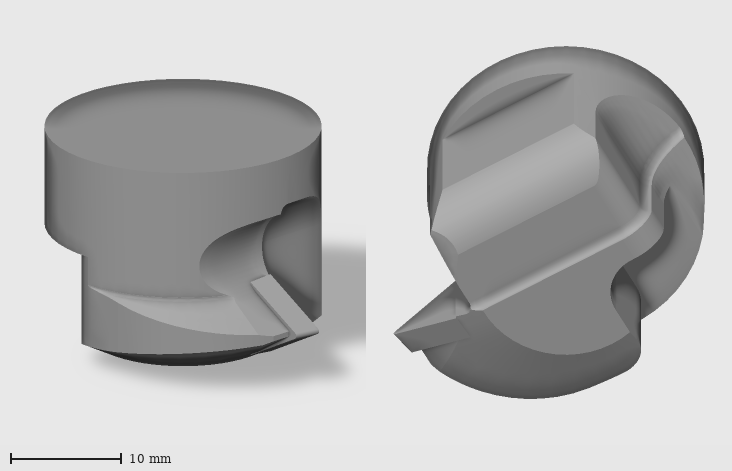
import cadquery as cq
import math

shank_radius = 12.497
height = 19.98
reach = 30.37 - shank_radius
margin = 6.07

flank_slope = 0.53
flank_angle = math.atan(flank_slope)
tip_height = 4.98
flank_height = 2.82
root_fillet = 0.35
sharp_tip = shank_radius + flank_height / flank_slope

tooth_centre_x = 4.7
tooth_end_x = 16.43
flat_flank_setback = 0.97

left_wall_x = -9.1
left_wall_top = 7.75
left_arc_radius = 7
heel_radius = 3.0
groove_radius = 4.0
groove_wall_x = 10.02

relief_depth = 0.73
relief_start_y = 0.3
relief_fillet = 0.9
relief_heel_radius = 2.0
rear_flat_y = 10.48
rear_flat_top = 14.7
rear_heel_width = 4.45
rear_heel_rise = 4.3
rear_heel_radius = 6.07

gullet_top = 10.7
gullet_face_y = -1.88
gullet_wall_x = -2.0
gullet_radius = 3.75
nose_radius = 3.13

insert_heel_x = 11.25
insert_rake_y = 0.2
insert_thickness = 2.4
insert_tilt = 2.2
insert_tip_radius = 0.3
insert_relief = 0.35

groove_x = groove_wall_x + groove_radius
flat_tip_x = sharp_tip - flat_flank_setback
groove_z = tip_height + flank_slope * (flat_tip_x - groove_x) + groove_radius / math.cos(flank_angle)


def prism_along_y(outline, y_start, y_end):
    """Extrude an XZ outline from y_start to y_end."""
    return outline.extrude(y_start - y_end).translate((0, y_start, 0))


def make_turned_form():
    """Shank with the V revolved around it."""
    tangent = root_fillet * math.tan((math.pi / 2 - flank_angle) / 2)
    root_z = tip_height + flank_height
    fillet_end = (shank_radius + tangent * math.cos(flank_angle), root_z - tangent * math.sin(flank_angle))
    bottom_radius = sharp_tip - tip_height / flank_slope
    return (
        cq.Workplane("XZ")
        .moveTo(0, 0)
        .lineTo(bottom_radius, 0)
        .lineTo(sharp_tip, tip_height)
        .lineTo(*fillet_end)
        .radiusArc((shank_radius, root_z + tangent), root_fillet)
        .lineTo(shank_radius, height)
        .lineTo(0, height)
        .close()
        .revolve(360, (0, 0, 0), (0, 1, 0))
    )


def make_plan_form():
    """Round shank joined to the offset round back of the tooth."""
    shank = cq.Workplane("XY").circle(shank_radius).extrude(height)
    end_y = -math.sqrt(shank_radius**2 - (tooth_end_x - tooth_centre_x) ** 2)
    tooth = (
        cq.Workplane("XY")
        .moveTo(0, 0)
        .lineTo(0, -shank_radius)
        .lineTo(tooth_centre_x, -shank_radius)
        .radiusArc((tooth_end_x, end_y), -shank_radius)
        .lineTo(tooth_end_x, 0)
        .close()
        .extrude(height)
    )
    return shank.union(tooth)


def make_side_form():
    """Side profile: left hollow, heel, flat V flanks and right groove."""
    hollow_x = left_wall_x - left_arc_radius
    groove_end = (
        groove_x - groove_radius * math.sin(flank_angle),
        groove_z - groove_radius * math.cos(flank_angle),
    )
    heel_z = tip_height - flank_slope * (sharp_tip - insert_heel_x)
    outline = (
        cq.Workplane("XZ")
        .moveTo(hollow_x, height)
        .lineTo(hollow_x, left_wall_top + left_arc_radius)
        .radiusArc((left_wall_x, left_wall_top), left_arc_radius)
        .lineTo(left_wall_x, heel_radius)
        .radiusArc((left_wall_x + heel_radius, 0), -heel_radius)
        .lineTo(sharp_tip - tip_height / flank_slope, 0)
        .lineTo(insert_heel_x, heel_z)
        .lineTo(flat_tip_x, tip_height)
        .lineTo(*groove_end)
        .threePointArc((groove_wall_x, groove_z), (groove_x, groove_z + groove_radius))
        .lineTo(groove_x, height)
        .close()
    )
    return prism_along_y(outline, -2 * shank_radius, 2 * shank_radius)


def make_rear_relief():
    """Cutter around the rear half, leaving the side profile set in by relief_depth."""
    hollow_x = left_wall_x - left_arc_radius
    wall_x = left_wall_x + relief_depth
    hollow_radius = left_arc_radius + relief_depth
    right_x = groove_wall_x - relief_depth
    right_radius = groove_radius + relief_depth
    core_top = height + margin
    outline = (
        cq.Workplane("XZ")
        .moveTo(hollow_x, core_top)
        .lineTo(hollow_x, left_wall_top + hollow_radius)
        .radiusArc((wall_x, left_wall_top), hollow_radius)
        .lineTo(wall_x, relief_depth + relief_heel_radius)
        .radiusArc((wall_x + relief_heel_radius, relief_depth), -relief_heel_radius)
        .lineTo(right_x, relief_depth)
        .lineTo(right_x, groove_z)
        .radiusArc((groove_x, groove_z + right_radius), right_radius)
        .lineTo(groove_x, core_top)
        .close()
    )
    core = prism_along_y(outline, relief_start_y, 2 * shank_radius)
    block_size = 4 * shank_radius
    block = cq.Workplane("XY").box(
        block_size, 2 * shank_radius - relief_start_y, block_size, centered=(True, False, True)
    ).translate((0, relief_start_y, height / 2))
    cutter = block.cut(core)
    inner_edges = cutter.faces("<Y").val().innerWires()[0].Edges()
    return cutter.newObject(inner_edges).fillet(relief_fillet)


def make_rear_flat():
    """Cutter for the rear flat and the round under it."""
    return (
        cq.Workplane("YZ")
        .moveTo(rear_flat_y, rear_flat_top)
        .lineTo(rear_flat_y, relief_depth + rear_heel_rise)
        .radiusArc((rear_flat_y - rear_heel_width, relief_depth), rear_heel_radius)
        .lineTo(rear_flat_y - rear_heel_width, -margin)
        .lineTo(rear_flat_y + margin, -margin)
        .lineTo(rear_flat_y + margin, rear_flat_top)
        .close()
        .extrude(2 * shank_radius, both=True)
    )


def make_gullet():
    """Cutter for the chip gullet in front of the tooth."""
    outer = -shank_radius - margin
    return (
        cq.Workplane("XY")
        .moveTo(outer, gullet_face_y)
        .lineTo(gullet_wall_x - gullet_radius, gullet_face_y)
        .radiusArc((gullet_wall_x, gullet_face_y - gullet_radius), gullet_radius)
        .lineTo(gullet_wall_x, -shank_radius + nose_radius)
        .radiusArc((gullet_wall_x + nose_radius, -shank_radius), -nose_radius)
        .lineTo(gullet_wall_x + nose_radius, outer)
        .lineTo(outer, outer)
        .close()
        .extrude(gullet_top)
    )


def tilt_insert(shape):
    """Turn a shape about the insert heel and move it to the rake face."""
    return shape.rotate((0, 0, 0), (0, 0, 1), -insert_tilt).translate((insert_heel_x, insert_rake_y, 0))


def make_insert_seat():
    """Cutter that clears the tooth from the insert's rear face to the back."""
    seat_length = 2 * shank_radius
    seat = cq.Workplane("XY").box(
        seat_length, seat_length, tip_height + flank_height + groove_radius, centered=False
    ).translate((0, -insert_thickness, 0))
    return tilt_insert(seat)


def make_holder():
    holder = make_turned_form().intersect(make_plan_form()).intersect(make_side_form())
    for cutter in (make_rear_relief(), make_rear_flat(), make_gullet(), make_insert_seat()):
        holder = holder.cut(cutter)
    return holder


def insert_contour(y, tip_x):
    """V contour with a round tip, tip_x from the heel, as a wire at depth y."""
    tip_centre_x = tip_x - insert_tip_radius
    touch_x = tip_centre_x + insert_tip_radius * math.sin(flank_angle)
    touch_z = insert_tip_radius * math.cos(flank_angle)
    heel_z = touch_z + touch_x * flank_slope
    return (
        cq.Workplane("XZ", origin=(0, y, tip_height))
        .moveTo(0, -heel_z)
        .lineTo(touch_x, -touch_z)
        .threePointArc((tip_x, 0), (touch_x, touch_z))
        .lineTo(0, heel_z)
        .close()
        .val()
    )


def make_insert():
    """V-shaped cutting plate, tapering toward its rear face."""
    tip_x = (reach - insert_heel_x) / math.cos(math.radians(insert_tilt))
    rake = insert_contour(0, tip_x)
    rear = insert_contour(-insert_thickness, tip_x - insert_relief)
    return tilt_insert(cq.Workplane(cq.Solid.makeLoft([rake, rear], True)))


holder = make_holder()
insert = make_insert()
result = cq.Compound.makeCompound([holder.solids().val(), insert.val()])